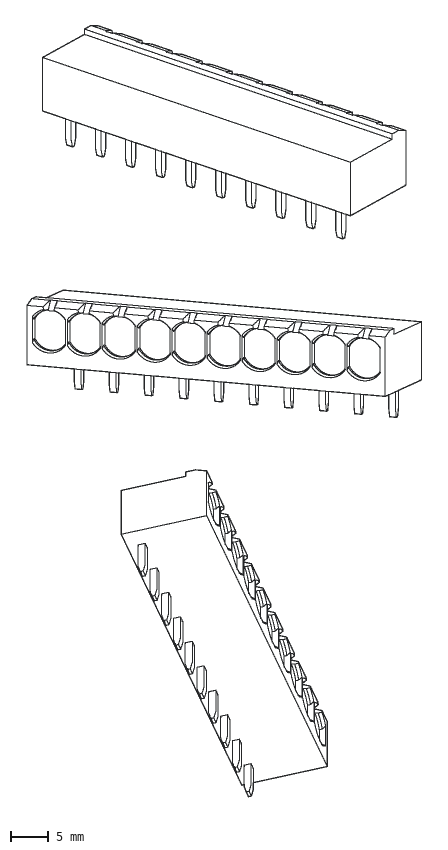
import cadquery as cq
import math


length = 52.1
depth = 12.0
deck_height = 7.9
ridge_height = 8.7
ridge_width = 2.95
bevel_run = 1.55
bevel_drop = 0.6

pole_count = 10
end_margin = 3.2
pitch = (length - 2 * end_margin) / (pole_count - 1)
pole_positions = [end_margin + i * pitch for i in range(pole_count)]

pin_width = 1.0
pin_length = 4.9
pin_front = 1.5
tip_length = 1.1
tip_thickness = 0.4

recess_radius = 2.75
mouth_radius = 2.95
mouth_depth = 0.45
recess_depth = 0.9
recess_width = 4.8
recess_centre_height = 4.85

groove_angle = 57.0
groove_start = 1.7
groove_floor_width = 1.0
groove_flare = 0.3
groove_cut_height = 2.1
groove_run = 2.6


def make_housing():
    profile = [
        (0, 0),
        (depth, 0),
        (depth, ridge_height - bevel_drop),
        (depth - bevel_run, ridge_height),
        (depth - ridge_width, ridge_height),
        (depth - ridge_width, deck_height),
        (0, deck_height),
    ]
    return cq.Workplane("YZ").polyline(profile).close().extrude(length)


def make_pin(x):
    """A square pin whose tip tapers at front and back."""
    pin_back = pin_front + pin_width
    tip_inset = (pin_width - tip_thickness) / 2
    profile = [
        (pin_front, 0),
        (pin_back, 0),
        (pin_back, tip_length - pin_length),
        (pin_back - tip_inset, -pin_length),
        (pin_front + tip_inset, -pin_length),
        (pin_front, tip_length - pin_length),
    ]
    pin = cq.Workplane("YZ").polyline(profile).close().extrude(pin_width)
    return pin.translate((x - pin_width / 2, 0, 0))


def make_recess(x):
    """Cutter for a round recess with a conical mouth and two flat sides."""
    half_section = [
        (0, depth),
        (mouth_radius, depth),
        (recess_radius, depth - mouth_depth),
        (recess_radius, depth - recess_depth),
        (0, depth - recess_depth),
    ]
    round_cut = cq.Workplane("XY").polyline(half_section).close().revolve(360, (0, 0), (0, 1))
    sides = cq.Workplane("XY").box(recess_width, 2 * depth, 2 * mouth_radius)
    return round_cut.intersect(sides).translate((x, 0, recess_centre_height))


def make_groove(x):
    """Cutter with a flat floor and flared walls, running down to the rear."""
    half_floor = groove_floor_width / 2
    half_top = half_floor + groove_flare * groove_cut_height
    section = [
        (-half_floor, 0),
        (half_floor, 0),
        (half_top, groove_cut_height),
        (-half_top, groove_cut_height),
    ]
    slope = math.radians(groove_angle)
    up_the_floor = (0, -math.cos(slope), math.sin(slope))
    floor_top = (x, depth - groove_start, ridge_height)
    plane = cq.Plane(origin=floor_top, xDir=(1, 0, 0), normal=up_the_floor)
    return cq.Workplane(plane).polyline(section).close().extrude(groove_run, both=True)


result = make_housing()
for pole_x in pole_positions:
    result = result.union(make_pin(pole_x))
    result = result.cut(make_recess(pole_x))
    result = result.cut(make_groove(pole_x))